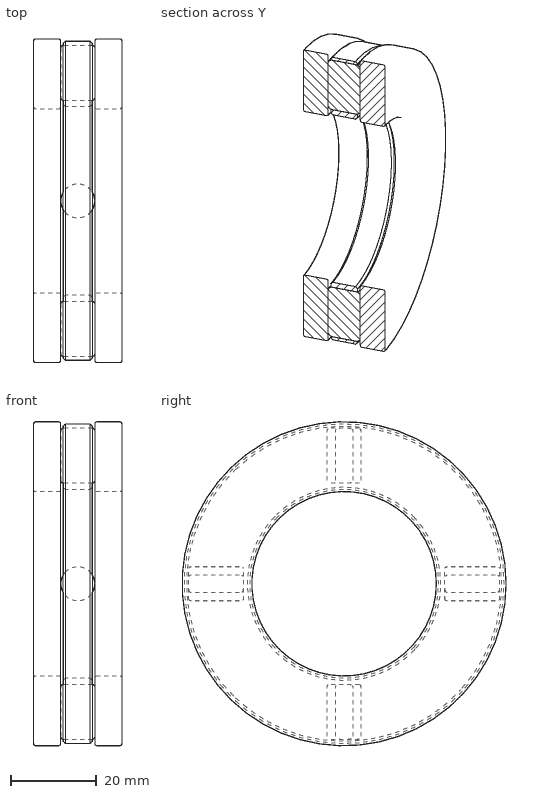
import cadquery as cq

outer_diameter = 75.4
bearing_width = 20.6
washer_bore = 42.8
washer_edge_round = 0.5

roller_diameter = 7.9
roller_inner_radius = 23.4
roller_outer_radius = 36.2
roller_edge_round = 0.6
roller_count = 4

cage_width = 6.8
cage_chamfer = 0.5
cage_outer_diameter = outer_diameter - 2 * washer_edge_round
cage_bore = washer_bore + 2 * washer_edge_round

washer_width = (bearing_width - roller_diameter) / 2
roller_length = roller_outer_radius - roller_inner_radius
roller_angles = [index * 360 / roller_count for index in range(roller_count)]


def make_ring(start_x, width, diameter, bore):
    """Ring along X with sharp edges."""
    return (
        cq.Workplane("YZ", origin=(start_x, 0, 0))
        .circle(diameter / 2)
        .circle(bore / 2)
        .extrude(width)
    )


def make_washer(start_x):
    """Flat washer with all four circular edges rounded."""
    washer = make_ring(start_x, washer_width, outer_diameter, washer_bore)
    return washer.edges().fillet(washer_edge_round)


def make_roller(angle):
    """Radial roller, turned about the bearing axis from the +Z direction."""
    return (
        cq.Workplane("XY", origin=(0, 0, roller_inner_radius))
        .circle(roller_diameter / 2)
        .extrude(roller_length)
        .faces("<Z or >Z")
        .edges()
        .fillet(roller_edge_round)
        .rotate((0, 0, 0), (1, 0, 0), angle)
    )


def make_cage(rollers):
    """Chamfered middle ring with a matching pocket around each roller."""
    cage = make_ring(-cage_width / 2, cage_width, cage_outer_diameter, cage_bore)
    cage = cage.edges().chamfer(cage_chamfer)
    for roller in rollers:
        cage = cage.cut(roller)
    return cage


left_washer = make_washer(-bearing_width / 2)
right_washer = make_washer(roller_diameter / 2)
rollers = [make_roller(angle) for angle in roller_angles]
cage = make_cage(rollers)

result = cq.Compound.makeCompound(
    [left_washer.val(), right_washer.val(), cage.val(), *[roller.val() for roller in rollers]]
)